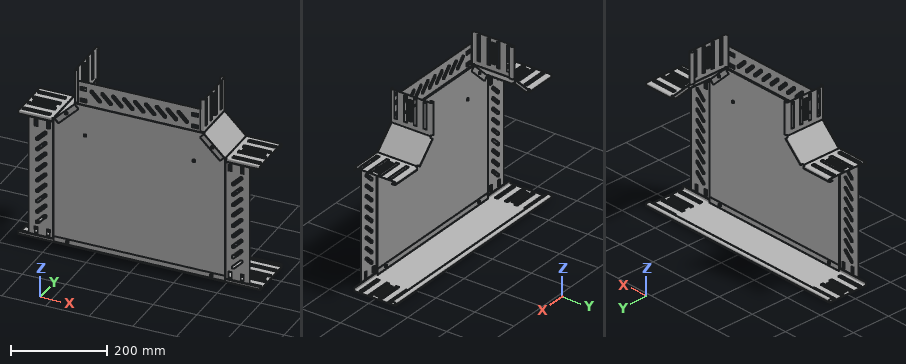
import cadquery as cq
import math


length = 554.0
height = 425.0
depth = 107.0
sheet = 1.0

tray_width = 297.0
arm_length = 80.0
branch_half_width = 148.0
mouth_x = length / 2 - arm_length
mouth_z = height - arm_length
diagonal_run = mouth_x - branch_half_width
diagonal_rise = mouth_z - tray_width
diagonal = math.hypot(diagonal_run, diagonal_rise)

front_bend = 1.5
rear_bend = 3.5
arm_flange = 8.0
wide_flange = 15.0
lip_width = 8.5
return_depth = 10.5
flange_relief = 2.0
lip_relief = 3.0
tab_end_gap = 2.0
tab_corner = 1.5

arm_slot_length = 62.5
arm_slot_width = 7.0
arm_slot_end = 5.0
arm_slot_pitch = 25.0
arm_slot_count = 4
arm_slot_first_y = 13.5
perforation_count = 9
perforation_span = 47.5
perforation_width = 3.0
perforation_height = 8.0
arm_slot_mid = arm_slot_end + arm_slot_length / 2
arm_slot_mid_y = arm_slot_first_y + arm_slot_pitch * (arm_slot_count - 1) / 2

base_edge_gap = 1.5
plate_bend_gap = 1.0
base_x = mouth_x - plate_bend_gap
base_z = mouth_z - plate_bend_gap
joggle = 1.5
plate_reach = 57.0
plate_side_gap = 9.0
plate_slot_count = 9
plate_slot_pitch = 25.0
plate_slot_length = 32.0
plate_slot_width = 6.0
plate_slot_offset = 28.0
plate_slot_angle = -45
window_length = 14.0
window_width = 7.0
window_offsets = (12.0, 40.0)
window_edge_gap = 20.5

hole_diameter = 6.0
base_hole_x = 124.5
base_hole_z = 272.5
rail_hole_x = 165.0
rail_hole_z = 8.5
tab_hole_inset = 7.0


def box(x_range, y_range, z_range):
    """Box between the given pairs of limits."""
    size = [high - low for low, high in (x_range, y_range, z_range)]
    return (
        cq.Workplane()
        .box(*size, centered=False)
        .translate((x_range[0], y_range[0], z_range[0]))
    )


def hole(x, z):
    """Cutter for a screw hole through the base side."""
    return cq.Workplane("XZ").center(x, z).circle(hole_diameter / 2).extrude(-4 * sheet)




def flange(start, end, width):
    """Front flange, bent inwards from the web."""
    outer = box((start, end), (0, 2 * front_bend), (-width, 0)).edges("|X and >Z and <Y").fillet(front_bend)
    inner = box((start, end), (sheet, depth), (-2 * width, -sheet))
    return outer.cut(inner.edges("|X and >Z and <Y").fillet(front_bend - sheet))


def lip(start, end):
    """Rear lip, bent inwards and returned towards the base."""
    outer = box((start, end), (depth - return_depth, depth), (-lip_width, 0))
    inner = box((start, end), (0, depth - sheet), (sheet - lip_width, -sheet))
    outer = outer.edges("|X and >Y").fillet(rear_bend)
    return outer.cut(inner.edges("|X and >Y").fillet(rear_bend - sheet))


def plain_lip(start, end):
    """Rear lip without the return."""
    return lip(start, end).intersect(box((start, end), (depth - rear_bend, depth), (-lip_width, 0)))


def web(start, end):
    """Flat side wall between the two bends."""
    return box((start, end), (front_bend, depth - rear_bend), (-sheet, 0))


def arm_cutters(free_end, inward):
    """Slots and perforations of an arm; inward is +1 or -1 along X from the free end."""
    middle = free_end + inward * arm_slot_mid
    slot_places = [(middle, arm_slot_first_y + i * arm_slot_pitch) for i in range(arm_slot_count)]
    pitch = perforation_span / (perforation_count - 1)
    perforation_places = [
        (middle - perforation_span / 2 + i * pitch, arm_slot_mid_y) for i in range(perforation_count)
    ]
    cutter_start = cq.Workplane("XY").workplane(offset=-2 * sheet)
    slots = cutter_start.pushPoints(slot_places).rect(arm_slot_length, arm_slot_width).extrude(3 * sheet)
    perforations = (
        cutter_start.pushPoints(perforation_places)
        .rect(perforation_width, perforation_height)
        .extrude(3 * sheet)
    )
    return slots.union(perforations)


def place(panel, x, z, angle):
    """Turn a panel about Y by an angle from +X towards +Z, then move its origin to (x, z)."""
    return panel.rotate((0, 0, 0), (0, 1, 0), -angle).translate((x, 0, z))


def make_side_rail():
    half = length / 2
    panel = (
        web(-half, half)
        .union(flange(-half, half, arm_flange))
        .union(flange(-base_x, base_x, wide_flange))
        .union(lip(-half, half))
        .cut(arm_cutters(-half, 1))
        .cut(arm_cutters(half, -1))
    )
    rail = place(panel, 0, 0, 180)
    for side in (-1, 1):
        rail = rail.cut(hole(side * rail_hole_x, rail_hole_z))
    return rail


def make_corner_rail():
    """Left corner rail: through arm, diagonal wall with a screw tab, and branch arm."""
    angle = math.degrees(math.atan2(diagonal_rise, diagonal_run))
    through_overlap = sheet * math.tan(math.radians(angle / 2))
    branch_overlap = sheet * math.tan(math.radians((90 - angle) / 2))

    through_arm = (
        web(-arm_length, through_overlap)
        .union(flange(-arm_length, -flange_relief, arm_flange))
        .union(lip(-arm_length, -lip_relief))
        .cut(arm_cutters(-arm_length, 1))
    )
    branch_arm = (
        web(-branch_overlap, arm_length)
        .union(flange(flange_relief, arm_length, arm_flange))
        .union(lip(lip_relief, arm_length))
        .cut(arm_cutters(arm_length, -1))
    )
    tab = flange(tab_end_gap, diagonal - tab_end_gap, wide_flange).edges("|Y and <Z").fillet(tab_corner)
    diagonal_wall = (
        web(-through_overlap, diagonal + branch_overlap)
        .union(tab)
        .union(plain_lip(lip_relief, diagonal - lip_relief))
        .cut(hole(diagonal / 2, -tab_hole_inset))
    )
    return (
        place(through_arm, -mouth_x, tray_width, 0)
        .union(place(diagonal_wall, -mouth_x, tray_width, angle))
        .union(place(branch_arm, -branch_half_width, mouth_z, 90))
    )




def make_connecting_plate():
    """Plate with its bend line on Z = 0, reaching to +Z and stepped forward by one sheet."""
    half = tray_width / 2 - plate_side_gap
    profile = [
        (sheet, 0),
        (0, joggle),
        (0, plate_reach),
        (sheet, plate_reach),
        (sheet, joggle),
        (2 * sheet, 0),
    ]
    plate = cq.Workplane("YZ").workplane(offset=-half).polyline(profile).close().extrude(2 * half)
    first = -plate_slot_pitch * (plate_slot_count - 1) / 2
    slot_places = [(first + i * plate_slot_pitch, plate_slot_offset) for i in range(plate_slot_count)]
    window_x = tray_width / 2 - window_edge_gap
    window_places = [(side * window_x, offset) for side in (-1, 1) for offset in window_offsets]
    slots = (
        cq.Workplane("XZ")
        .pushPoints(slot_places)
        .slot2D(plate_slot_length, plate_slot_width, plate_slot_angle)
        .extrude(-sheet)
    )
    windows = cq.Workplane("XZ").pushPoints(window_places).rect(window_length, window_width).extrude(-sheet)
    return plate.cut(slots).cut(windows)


def make_base():
    right_edge = [
        (base_x, base_edge_gap),
        (base_x, tray_width - base_edge_gap),
        (branch_half_width - base_edge_gap, base_z),
    ]
    left_edge = [(-x, z) for x, z in reversed(right_edge)]
    base = (
        cq.Workplane("XZ", origin=(0, sheet, 0)).polyline(right_edge + left_edge).close().extrude(-sheet)
    )
    middle_z = tray_width / 2
    for x, z, angle in ((-base_x, middle_z, 90), (base_x, middle_z, -90), (0, base_z, 0)):
        base = base.union(place(make_connecting_plate(), x, z, angle))
    tab_hole_x = (mouth_x + branch_half_width) / 2 - tab_hole_inset * diagonal_rise / diagonal
    tab_hole_z = (tray_width + mouth_z) / 2 - tab_hole_inset * diagonal_run / diagonal
    for side in (-1, 1):
        base = base.cut(hole(side * base_hole_x, base_hole_z))
        base = base.cut(hole(side * rail_hole_x, rail_hole_z))
        base = base.cut(hole(side * tab_hole_x, tab_hole_z))
    return base


base = make_base()
side_rail = make_side_rail()
left_corner_rail = make_corner_rail()
right_corner_rail = left_corner_rail.mirror("YZ")

result = cq.Compound.makeCompound(
    [
        *base.solids().vals(),
        *side_rail.solids().vals(),
        *left_corner_rail.solids().vals(),
        *right_corner_rail.solids().vals(),
    ]
)